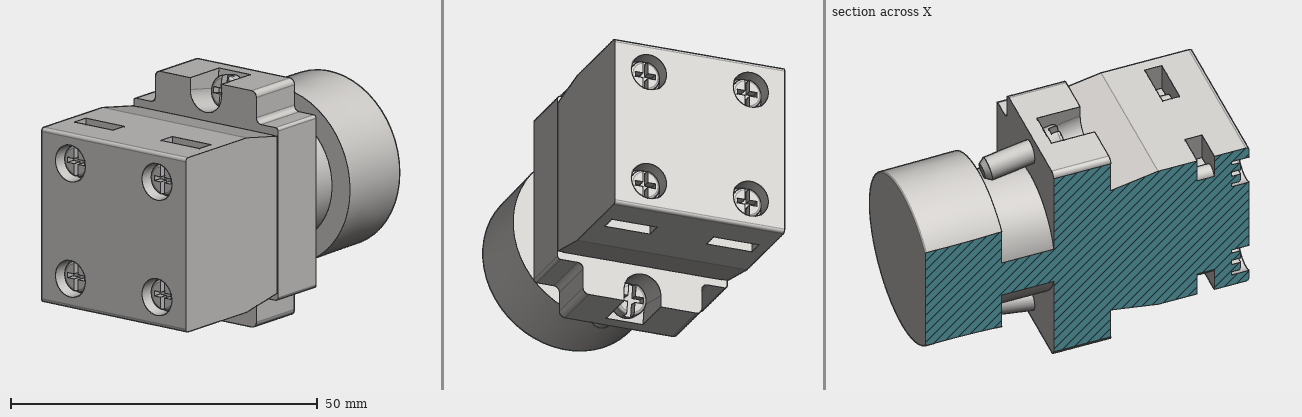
import cadquery as cq


width = 30.0
flange_depth = 10.0
flange_height = 40.0
ear_width = 21.0
shoulder_height = 29.2
ear_radius = 1.0
shoulder_radius = 0.5

block_front_y = -24.2
block_height = 29.5
taper_end_height = 26.5
taper_length = 8.25
block_edge_radius = 0.6
side_groove_length = 0.25
side_groove_depth = 1.0

collar_diameter = 22.2
collar_length = 9.1
cap_length = 13.4
cap_base_diameter = 29.7
cap_top_diameter = 29.4
cap_edge_radius = 0.2

clamp_tilt = 10.0
clamp_pocket_width = 6.5
clamp_seat_y = 7.0
clamp_seat_z = 16.76
clamp_shank_diameter = 4.0
clamp_shank_length = 11.6
clamp_tip_inset = 0.7
clamp_tip_length = 1.0
clamp_head_diameter = 5.5
clamp_head_height = 2.4
clamp_head_radius = 0.5
clamp_slot_width = 1.3
clamp_cross_length = 4.2
clamp_cross_width = 1.0
clamp_recess_depth = 1.5

terminal_x = 9.0
terminal_z = 9.75
counterbore_diameter = 6.2
counterbore_depth = 3.0
terminal_shank_diameter = 3.2
terminal_head_diameter = 5.2
terminal_head_height = 1.5
terminal_head_radius = 0.4
terminal_slot_width = 0.85
terminal_cross_length = 3.5
terminal_recess_depth = terminal_head_height
wire_slot_width = 8.0
wire_slot_length = 3.0
wire_slot_front_y = -18.1
wire_slot_floor_z = terminal_z
shank_embedding = 1.0


def cylinder_on_y(diameter, start_y, length):
    """Cylinder on the Y axis."""
    return cq.Workplane("XZ", origin=(0, start_y, 0)).circle(diameter / 2).extrude(-length)


def make_flange():
    """Plate with an upper and a lower ear, rounded along all its long edges."""
    plate = cq.Workplane("XY").box(width, flange_depth, shoulder_height)
    plate = plate.edges("|Y").fillet(shoulder_radius)
    ears = cq.Workplane("XY").box(ear_width, flange_depth, flange_height)
    ears = ears.edges("|Y").fillet(ear_radius)
    flange = plate.union(ears)
    inner_corners = cq.selectors.BoxSelector(
        (-ear_width / 2 - ear_radius / 2, -flange_depth, -shoulder_height / 2 - ear_radius / 2),
        (ear_width / 2 + ear_radius / 2, flange_depth, shoulder_height / 2 + ear_radius / 2),
    )
    flange = flange.edges("|Y").edges(inner_corners).fillet(ear_radius)
    return flange.translate((0, flange_depth / 2, 0))


def make_block():
    """Contact block tapered above and below towards the flange, with a groove at each side."""
    half_height = block_height / 2
    half_end = taper_end_height / 2
    block = (
        cq.Workplane("YZ")
        .moveTo(block_front_y, -half_height)
        .lineTo(-taper_length, -half_height)
        .lineTo(0, -half_end)
        .lineTo(0, half_end)
        .lineTo(-taper_length, half_height)
        .lineTo(block_front_y, half_height)
        .close()
        .extrude(width / 2, both=True)
    )
    block = block.faces("<Y").edges("|X").fillet(block_edge_radius)
    groove = cq.Workplane("XY").box(2 * side_groove_depth, 2 * side_groove_length, block_height)
    for x in (-width / 2, width / 2):
        block = block.cut(groove.translate((x, 0, 0)))
    return block


def make_button():
    """Collar and slightly conical cap."""
    cap_start = flange_depth + collar_length
    cap_end = cap_start + cap_length
    cap = (
        cq.Workplane("XY")
        .moveTo(0, cap_start)
        .lineTo(cap_base_diameter / 2, cap_start)
        .lineTo(cap_top_diameter / 2, cap_end)
        .lineTo(0, cap_end)
        .close()
        .revolve(360, (0, 0, 0), (0, 1, 0))
    )
    cap = cap.faces(">Y").edges().fillet(cap_edge_radius)
    return cylinder_on_y(collar_diameter, flange_depth, collar_length).union(cap)


def make_screw(shank_diameter, shank_length, head_diameter, head_height, head_radius,
               slot_width, cross_length, cross_width, recess_depth):
    """Screw on the Z axis, seated at Z = 0 with its slotted cross-recess head on the +Z side."""
    head = cq.Workplane("XY").circle(head_diameter / 2).extrude(head_height)
    head = head.faces(">Z").edges().fillet(head_radius)
    recess_plane = cq.Workplane("XY", origin=(0, 0, head_height))
    head = head.cut(recess_plane.rect(slot_width, 2 * head_diameter).extrude(-recess_depth))
    head = head.cut(recess_plane.rect(cross_length, cross_width).extrude(-recess_depth))
    shank = cq.Workplane("XY").circle(shank_diameter / 2).extrude(-shank_length)
    return head, shank


def place_clamp(body):
    """Move a body from the Z axis onto the tilted axis of the upper clamping screw."""
    tilted = body.rotate((0, 0, 0), (1, 0, 0), 90 - clamp_tilt)
    return tilted.translate((0, clamp_seat_y, clamp_seat_z))


def add_clamp_screw(part):
    """Pocket in the upper ear with its tilted screw, whose tip reaches past the flange."""
    half_width = clamp_pocket_width / 2
    pocket = (
        cq.Workplane("XY")
        .moveTo(-half_width, flange_height)
        .lineTo(-half_width, 0)
        .threePointArc((0, -half_width), (half_width, 0))
        .lineTo(half_width, flange_height)
        .close()
        .extrude(2 * flange_depth)
    )
    head, shank = make_screw(
        clamp_shank_diameter, clamp_shank_length,
        clamp_head_diameter, clamp_head_height, clamp_head_radius,
        clamp_slot_width, clamp_cross_length, clamp_cross_width, clamp_recess_depth,
    )
    shank = shank.faces("<Z").chamfer(clamp_tip_length, clamp_tip_inset)
    screw = head.union(shank)
    return part.cut(place_clamp(pocket)).union(place_clamp(screw))


def add_terminal(part, x):
    """Wire slot open to the top, with the counterbored screw that crosses it."""
    slot_height = block_height / 2 - wire_slot_floor_z
    slot = cq.Workplane("XY").box(
        wire_slot_width, wire_slot_length, slot_height, centered=(True, False, False)
    )
    part = part.cut(slot.translate((x, wire_slot_front_y, wire_slot_floor_z)))

    seat_y = block_front_y + counterbore_depth
    counterbore = cylinder_on_y(counterbore_diameter, block_front_y, counterbore_depth)
    part = part.cut(counterbore.translate((x, 0, terminal_z)))

    shank_length = wire_slot_front_y + wire_slot_length + shank_embedding - seat_y
    head, shank = make_screw(
        terminal_shank_diameter, shank_length,
        terminal_head_diameter, terminal_head_height, terminal_head_radius,
        terminal_slot_width, terminal_cross_length, terminal_slot_width, terminal_recess_depth,
    )
    screw = head.union(shank).rotate((0, 0, 0), (1, 0, 0), 90)
    return part.union(screw.translate((x, seat_y, terminal_z)))


def add_upper_features(part):
    """Clamping screw and both terminals of the upper half."""
    part = add_clamp_screw(part)
    for x in (-terminal_x, terminal_x):
        part = add_terminal(part, x)
    return part


result = make_flange().union(make_block()).union(make_button())
for _ in range(2):
    result = add_upper_features(result).mirror("XY")